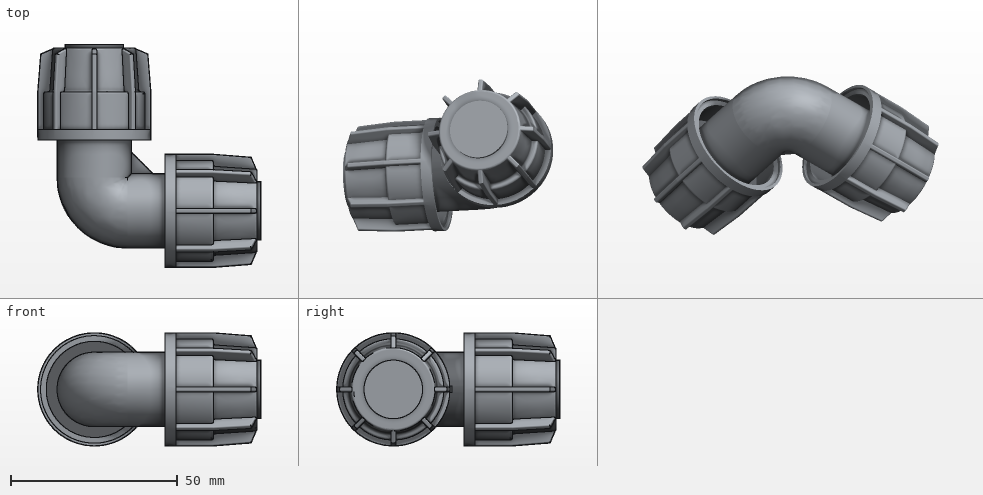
import cadquery as cq

TUBE_RADIUS = 22.4 / 2
BEND_RADIUS = 10.0
GUSSET_LEG = 6.4
GUSSET_THICKNESS = 2.0

NUT_START = 21.2
FLANGE_LENGTH = 3.3
FLANGE_END = NUT_START + FLANGE_LENGTH
SHOULDER = 35.75
RING_END = 50.0
RING_LENGTH = 1.1
NUT_END = RING_END - RING_LENGTH

FLANGE_RADIUS = 34.0 / 2
SKIRT_RADIUS = 15.2
CONE_START_RADIUS = 13.4
CONE_END_RADIUS = 12.5
RING_RADIUS = 17.6 / 2
SHOULDER_FILLET = 0.65
END_FILLET = 0.65

RECESS_RADIUS = 32.3 / 2
RECESS_DEPTH = 1.0
BORE_RADIUS = 28.9 / 2
BORE_DEPTH = 9.3

RIB_COUNT = 8
RIB_WIDTH = 1.5
RIB_FILLET = 0.45
RIB_TIP_RADIUS = 16.1
RIB_TIP = 47.1
RIB_END_RADIUS = 11.8

SELECT_MARGIN = 0.1


def elbow_bend():
    """Quarter bend whose section is cut off at the bend axis, which lies inside the tube."""
    cut_height = (TUBE_RADIUS**2 - BEND_RADIUS**2) ** 0.5
    return (
        cq.Workplane("XZ", origin=(0, BEND_RADIUS, 0))
        .moveTo(BEND_RADIUS, -cut_height)
        .threePointArc((-TUBE_RADIUS, 0), (BEND_RADIUS, cut_height))
        .close()
        .revolve(90, (BEND_RADIUS, 0), (BEND_RADIUS, 1))
    )


def leg_tube():
    """Straight tube along +X, running into the closed end of the nut."""
    length = NUT_END - BEND_RADIUS
    return cq.Workplane("YZ", origin=(BEND_RADIUS, 0, 0)).circle(TUBE_RADIUS).extrude(length)


def gusset():
    """Triangular web in the inner corner of the elbow."""
    tip = TUBE_RADIUS + GUSSET_LEG
    return (
        cq.Workplane("XY")
        .polyline([(0, 0), (tip, 0), (tip, TUBE_RADIUS), (TUBE_RADIUS, tip), (0, tip)])
        .close()
        .extrude(GUSSET_THICKNESS / 2, both=True)
    )


def nut_body():
    """Turned nut along +X: flange, skirt, filleted shoulder, cone and end ring."""
    shell = (
        cq.Workplane("XY")
        .moveTo(NUT_START, 0)
        .lineTo(NUT_START, FLANGE_RADIUS)
        .lineTo(FLANGE_END, FLANGE_RADIUS)
        .lineTo(FLANGE_END, SKIRT_RADIUS)
        .lineTo(SHOULDER, SKIRT_RADIUS)
        .lineTo(SHOULDER, CONE_START_RADIUS)
        .lineTo(NUT_END, CONE_END_RADIUS)
        .lineTo(NUT_END, 0)
        .close()
        .revolve(360, (0, 0), (1, 0))
    )
    shoulder_edges = cq.selectors.BoxSelector(
        (SHOULDER - SELECT_MARGIN, -FLANGE_RADIUS, -FLANGE_RADIUS),
        (SHOULDER + SELECT_MARGIN, FLANGE_RADIUS, FLANGE_RADIUS),
        boundingbox=True,
    )
    shell = shell.edges("%CIRCLE").edges(shoulder_edges).fillet(SHOULDER_FILLET)
    shell = shell.faces(">X").edges().fillet(END_FILLET)
    ring = cq.Workplane("YZ", origin=(NUT_END, 0, 0)).circle(RING_RADIUS).extrude(RING_LENGTH)
    return shell.union(ring)


def grip_rib():
    """One rib on the +Y side of the nut, with rounded outer edges."""
    rib = (
        cq.Workplane("XY")
        .moveTo(FLANGE_END, 0)
        .lineTo(FLANGE_END, FLANGE_RADIUS)
        .lineTo(SHOULDER, FLANGE_RADIUS)
        .lineTo(RIB_TIP, RIB_TIP_RADIUS)
        .lineTo(NUT_END, RIB_END_RADIUS)
        .lineTo(NUT_END, 0)
        .close()
        .extrude(RIB_WIDTH / 2, both=True)
    )
    side_edges = rib.faces("|Z").edges()
    outer_edges = cq.selectors.BoxSelector(
        (FLANGE_END, RIB_END_RADIUS, -RIB_WIDTH),
        (NUT_END, FLANGE_RADIUS + SELECT_MARGIN, RIB_WIDTH),
    )
    return side_edges.edges(outer_edges).fillet(RIB_FILLET)


def nut_cavity():
    """Stepped bore entering the nut from the elbow side."""
    recess = cq.Workplane("YZ", origin=(NUT_START, 0, 0)).circle(RECESS_RADIUS).extrude(RECESS_DEPTH)
    bore = cq.Workplane("YZ", origin=(NUT_START, 0, 0)).circle(BORE_RADIUS).extrude(BORE_DEPTH)
    return recess.union(bore)


def clamp_nut():
    """Hollow nut along +X with evenly spaced grip ribs."""
    nut = nut_body()
    for i in range(RIB_COUNT):
        nut = nut.union(grip_rib().rotate((0, 0, 0), (1, 0, 0), i * 360 / RIB_COUNT))
    return nut.cut(nut_cavity())


x_leg = clamp_nut().union(leg_tube())
y_leg = x_leg.mirror("YZ").rotate((0, 0, 0), (0, 0, 1), -90)
result = elbow_bend().union(x_leg).union(y_leg).union(gusset())